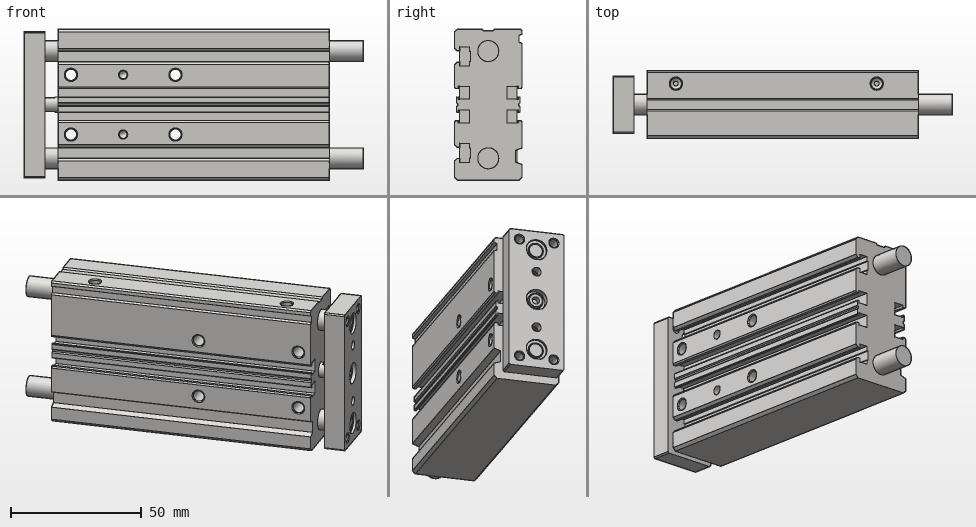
import cadquery as cq
import math


TOTAL_LENGTH = 130.0

PLATE_THICKNESS = 8.0
PLATE_WIDTH = 22.1
PLATE_HEIGHT = 56.0
PLATE_CHAMFER = 0.5

BODY_START = 13.0
BODY_LENGTH = 104.0
BODY_WIDTH = 26.0
BODY_HEIGHT = 58.0
BODY_CHAMFER = 1.2
PORT_EDGE_CHAMFER = 0.6

GUIDE_OFFSET = 20.5
GUIDE_DIAMETER = 8.0
PISTON_DIAMETER = 6.0
WRENCH_FLAT_WIDTH = 5.3
WRENCH_FLAT_END_X = 11.8
PISTON_END_X = 104.0
TIP_DIAMETER = PISTON_DIAMETER
TIP_CHAMFER = 0.4
TIP_SETBACK = 1.0
GUIDE_SHOULDER_X = 4.0
PISTON_SOCKET_DIAMETER = 2.9
PISTON_SOCKET_DEPTH = 2.6

RECESS_DIAMETER = 8.2
PISTON_RECESS_DEPTH = 2.6
SCREW_HOLE_DIAMETER = 3.2
SCREW_HOLE_CHAMFER = 0.4
SCREW_OFFSET_Y = 6.9
SCREW_OFFSET_Z = 24.0
PIN_HOLE_DIAMETER = 3.5
PIN_HOLE_DEPTH = 3.9
PIN_PILOT_DIAMETER = 3.0
PIN_PILOT_DEPTH = 5.2
DRILL_TIP_ANGLE = 118.0

HOLE_ROW_OFFSET = 11.5
THROUGH_HOLE_DIAMETER = 4.3
THROUGH_HOLE_CHAMFER = 0.4
THROUGH_HOLE_XS = (18.0, 58.0)
HOUSING_PIN_X = 38.0

PORT_XS = (24.0, 101.0)
PORT_Y = 8.0
PORT_DIAMETER = 4.3
PORT_CHAMFER = 0.4
PORT_DEPTH = 6.5
ORIFICE_DIAMETER = 1.8
ORIFICE_DEPTH = 10.4

T_SLOT_Z = 18.5
T_MOUTH_WIDTH = 6.2
T_THROAT_WIDTH = 4.3
T_INNER_WIDTH = 7.3
T_BEVEL_DEPTH = 1.0
T_LIP_DEPTH = 2.1
T_FLOOR_GROOVE_WIDTH = 3.8
T_FLOOR_GROOVE_DEPTH = 0.5
SLOT_DEPTH = 5.7

SENSOR_SLOT_Z = 4.5
SENSOR_THROAT_WIDTH = 3.1
SENSOR_INNER_WIDTH = 5.0
SENSOR_LIP_DEPTH = 1.5
SENSOR_BEVEL_HEIGHT = 0.6
SENSOR_BEVEL_DEPTH = 0.4
RAIL_SETBACK = 0.8
RAIL_EDGE_CHAMFER = 0.3

RAIL_NOTCH = (1.5, 0.6, 0.5)
TOP_GROOVE = (4.8, 3.6, 0.6)
BACK_UPPER_GROOVE = (3.5, 2.6, 1.2)
BACK_UPPER_GROOVE_Z = 25.2
BACK_LOWER_GROOVE = (6.2, 4.4, 2.6)
BACK_LOWER_GROOVE_Z = -19.8

HALF_WIDTH = BODY_WIDTH / 2
HALF_HEIGHT = BODY_HEIGHT / 2
BODY_END = BODY_START + BODY_LENGTH
GUIDE_ZS = (-GUIDE_OFFSET, GUIDE_OFFSET)
SIDES = (-1, 1)


def rod(start, end, diameter, z):
    """Cylinder along X from start to end, centred at height z."""
    return cq.Workplane("YZ", origin=(start, 0, z)).circle(diameter / 2).extrude(end - start)


def drill(point, direction, diameter, depth, chamfer=0.0, pointed=False):
    """Round cutter entering a face, with an optional edge chamfer and conical drill point."""
    radius = diameter / 2
    outline = cq.Workplane("XZ").lineTo(radius + chamfer, 0)
    if chamfer:
        outline = outline.lineTo(radius, chamfer)
    tip = radius / math.tan(math.radians(DRILL_TIP_ANGLE / 2)) if pointed else 0.0
    outline = outline.lineTo(radius, depth).lineTo(0, depth + tip).close()
    cutter = outline.revolve(360, (0, 0, 0), (0, 1, 0)).val()
    plane = cq.Plane(origin=point, xDir=cross_direction(direction), normal=direction)
    return cq.Workplane(cutter.moved(cq.Location(plane)))


def cross_direction(direction):
    """A direction square to an axis-aligned one."""
    return (direction[1], direction[2], direction[0])


def extrude_along_body(points):
    """Prism through the whole housing length from a (Y, Z) outline."""
    return cq.Workplane("YZ", origin=(BODY_START, 0, 0)).polyline(points).close().extrude(BODY_LENGTH)


def side_slot(side, z, half_profile):
    """Slot in a wide face, mirrored about its own centre height; profile is (depth, half width)."""
    upper = [(side * (HALF_WIDTH - depth), z + half) for depth, half in half_profile]
    lower = [(side * (HALF_WIDTH - depth), z - half) for depth, half in reversed(half_profile)]
    return extrude_along_body(upper + lower)


def tapered_groove(mouth, floor, depth, surface=0.0):
    """Half profile of a groove that narrows evenly from a surface to a flat floor."""
    return [(surface, mouth / 2), (surface + depth, floor / 2)]


def t_slot_profile():
    throat = T_THROAT_WIDTH / 2
    inner = T_INNER_WIDTH / 2
    floor_groove = T_FLOOR_GROOVE_WIDTH / 2
    return [
        (0, T_MOUTH_WIDTH / 2),
        (T_BEVEL_DEPTH, throat),
        (T_LIP_DEPTH, throat),
        (T_LIP_DEPTH, inner),
        (SLOT_DEPTH, inner),
        (SLOT_DEPTH, floor_groove),
        (SLOT_DEPTH + T_FLOOR_GROOVE_DEPTH, floor_groove),
    ]


def sensor_slot_profile():
    throat = SENSOR_THROAT_WIDTH / 2
    inner = SENSOR_INNER_WIDTH / 2
    return [(0, throat), (SENSOR_LIP_DEPTH, throat), (SENSOR_LIP_DEPTH, inner), (SLOT_DEPTH, inner)]


def rail_setback_profile():
    """Shallow cut that lowers the rail and bevels the outer corners of both sensor slots."""
    outer_wall = SENSOR_SLOT_Z + SENSOR_THROAT_WIDTH / 2
    return [
        (0, outer_wall + SENSOR_BEVEL_HEIGHT),
        (SENSOR_BEVEL_DEPTH, outer_wall),
        (RAIL_SETBACK, outer_wall),
    ]


def rail_edge_bevel(side, half):
    """Small bevel along the upper (half = 1) or lower (half = -1) outer edge of a rail."""
    surface = side * (HALF_WIDTH - RAIL_SETBACK)
    recessed = side * (HALF_WIDTH - RAIL_SETBACK - RAIL_EDGE_CHAMFER)
    edge = SENSOR_SLOT_Z - SENSOR_THROAT_WIDTH / 2
    return extrude_along_body([
        (surface, half * edge),
        (recessed, half * edge),
        (surface, half * (edge - RAIL_EDGE_CHAMFER)),
    ])


def housing_block():
    """Plain extruded bar; the edge beside the ports has a smaller chamfer."""
    big = BODY_CHAMFER
    small = PORT_EDGE_CHAMFER
    return extrude_along_body([
        (-HALF_WIDTH, -HALF_HEIGHT + big),
        (-HALF_WIDTH + big, -HALF_HEIGHT),
        (HALF_WIDTH - big, -HALF_HEIGHT),
        (HALF_WIDTH, -HALF_HEIGHT + big),
        (HALF_WIDTH, HALF_HEIGHT - small),
        (HALF_WIDTH - small, HALF_HEIGHT),
        (-HALF_WIDTH + big, HALF_HEIGHT),
        (-HALF_WIDTH, HALF_HEIGHT - big),
    ])


def top_groove():
    mouth, floor, depth = TOP_GROOVE
    return extrude_along_body([
        (-mouth / 2, HALF_HEIGHT),
        (mouth / 2, HALF_HEIGHT),
        (floor / 2, HALF_HEIGHT - depth),
        (-floor / 2, HALF_HEIGHT - depth),
    ])


def cut_slots(body):
    body = body.cut(top_groove())
    for z in (-T_SLOT_Z, T_SLOT_Z):
        body = body.cut(side_slot(-1, z, t_slot_profile()))
    for side in SIDES:
        body = body.cut(side_slot(side, 0, rail_setback_profile()))
        body = body.cut(side_slot(side, 0, tapered_groove(*RAIL_NOTCH, surface=RAIL_SETBACK)))
        for half in SIDES:
            body = body.cut(side_slot(side, half * SENSOR_SLOT_Z, sensor_slot_profile()))
            body = body.cut(rail_edge_bevel(side, half))
    body = body.cut(side_slot(1, BACK_UPPER_GROOVE_Z, tapered_groove(*BACK_UPPER_GROOVE)))
    return body.cut(side_slot(1, BACK_LOWER_GROOVE_Z, tapered_groove(*BACK_LOWER_GROOVE)))


def cut_pin_hole(body, start, inward):
    """Blind hole that steps down to a pointed pilot hole."""
    body = body.cut(drill(start, inward, PIN_HOLE_DIAMETER, PIN_HOLE_DEPTH))
    return body.cut(drill(start, inward, PIN_PILOT_DIAMETER, PIN_PILOT_DEPTH, pointed=True))


def cut_housing_holes(body):
    for row in SIDES:
        z = row * HOLE_ROW_OFFSET
        for x in THROUGH_HOLE_XS:
            for side in SIDES:
                start = (x, side * HALF_WIDTH, z)
                inward = (0, -side, 0)
                body = body.cut(drill(start, inward, THROUGH_HOLE_DIAMETER, HALF_WIDTH, THROUGH_HOLE_CHAMFER))
        pin_start = (HOUSING_PIN_X, -HALF_WIDTH, z)
        body = cut_pin_hole(body, pin_start, (0, 1, 0))
    for x in PORT_XS:
        start = (x, PORT_Y, HALF_HEIGHT)
        down = (0, 0, -1)
        body = body.cut(drill(start, down, PORT_DIAMETER, PORT_DEPTH, PORT_CHAMFER, pointed=True))
        body = body.cut(drill(start, down, ORIFICE_DIAMETER, ORIFICE_DEPTH))
    return body


def make_housing():
    """Extruded housing with through bores for the guides and a blind bore for the piston rod."""
    body = cut_housing_holes(cut_slots(housing_block()))
    for z in GUIDE_ZS:
        body = body.cut(rod(BODY_START, BODY_END, GUIDE_DIAMETER, z))
    return body.cut(rod(BODY_START, PISTON_END_X, PISTON_DIAMETER, 0))


def make_plate():
    """End plate with stepped rod holes, four corner screw holes and two pin holes."""
    plate = cq.Workplane("XY").box(PLATE_THICKNESS, PLATE_WIDTH, PLATE_HEIGHT, centered=(False, True, True))
    plate = plate.edges("|X").chamfer(PLATE_CHAMFER)
    plate = plate.cut(rod(0, PLATE_THICKNESS, TIP_DIAMETER, 0))
    plate = plate.cut(rod(0, PISTON_RECESS_DEPTH, RECESS_DIAMETER, 0))
    for z in GUIDE_ZS:
        plate = plate.cut(rod(0, TIP_SETBACK, RECESS_DIAMETER, z))
        plate = plate.cut(rod(0, GUIDE_SHOULDER_X, TIP_DIAMETER, z))
        plate = plate.cut(rod(GUIDE_SHOULDER_X, PLATE_THICKNESS, GUIDE_DIAMETER, z))
    inward = (1, 0, 0)
    for z in (-SCREW_OFFSET_Z, SCREW_OFFSET_Z):
        for y in (-SCREW_OFFSET_Y, SCREW_OFFSET_Y):
            plate = plate.cut(
                drill((0, y, z), inward, SCREW_HOLE_DIAMETER, PLATE_THICKNESS, SCREW_HOLE_CHAMFER)
            )
    for z in (-HOLE_ROW_OFFSET, HOLE_ROW_OFFSET):
        plate = cut_pin_hole(plate, (0, 0, z), inward)
    return plate


def rod_tip(end, z):
    """Chamfered end of a rod that sits in the plate."""
    return rod(TIP_SETBACK, end, TIP_DIAMETER, z).faces("<X").chamfer(TIP_CHAMFER)


def make_guide_rod(z):
    """Guide shaft stepped down to a tip inside the plate."""
    shaft = rod(GUIDE_SHOULDER_X, TOTAL_LENGTH, GUIDE_DIAMETER, z)
    return shaft.union(rod_tip(GUIDE_SHOULDER_X, z))


def make_piston_rod():
    """Rod with two wrench flats just behind the plate and a round socket in its tip."""
    piston = rod_tip(PISTON_END_X, 0)
    flat_length = WRENCH_FLAT_END_X - PLATE_THICKNESS
    for side in SIDES:
        waste_z = side * (WRENCH_FLAT_WIDTH + PISTON_DIAMETER) / 2
        waste = cq.Workplane("YZ", origin=(PLATE_THICKNESS, 0, waste_z))
        piston = piston.cut(waste.rect(PISTON_DIAMETER, PISTON_DIAMETER).extrude(flat_length))
    return piston.cut(drill((TIP_SETBACK, 0, 0), (1, 0, 0), PISTON_SOCKET_DIAMETER, PISTON_SOCKET_DEPTH))


housing = make_housing()
plate = make_plate()
piston_rod = make_piston_rod()
guide_rods = [make_guide_rod(z) for z in GUIDE_ZS]

result = cq.Compound.makeCompound(
    [housing.val(), plate.val(), piston_rod.val(), *[guide.val() for guide in guide_rods]]
)